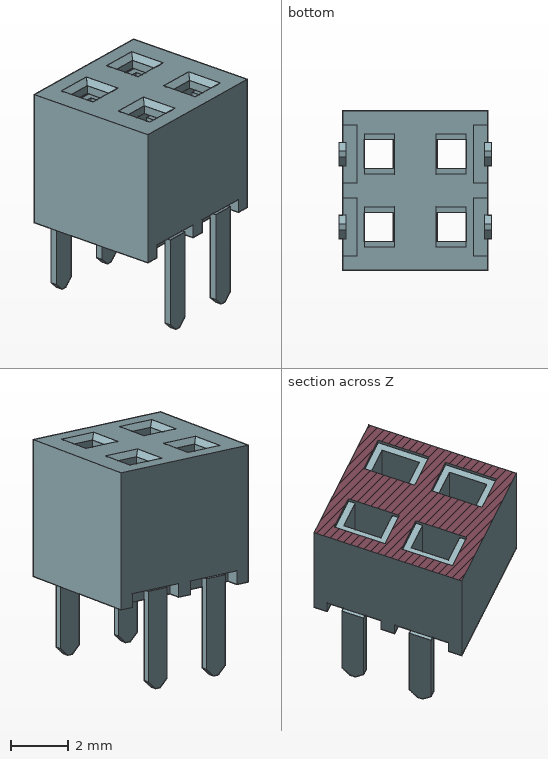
import cadquery as cq

total_height = 8.1
housing_x = 5.08
housing_y = 5.58
housing_height = 5.0
housing_bottom = total_height - housing_height
side_face = housing_x / 2

pitch = 2.54
rows_y = (-pitch / 2, pitch / 2)
sides = (-1, 1)

throat_size = 1.005
funnel_size = 1.4
funnel_depth = 0.2
throat_bottom_depth = 0.5
throat_bottom = total_height - throat_bottom_depth
metal_thickness = 0.25
shaft_top = throat_bottom - metal_thickness
shaft_y = 1.4
shaft_inner_relief = 0.05
chamber_y = shaft_y + 2 * metal_thickness

notch_y = 2.025
notch_height = 0.5
notch_depth = 0.5
notch_top = housing_bottom + notch_height

pin_width = 0.83
tip_width = 0.2
tip_height = 0.3


def box_between(x_start, x_end, y_center, y_size, z_bottom, z_top):
    """Make a box from its X limits, its Y centre and size, and its Z limits."""
    return cq.Workplane("XY").box(
        abs(x_end - x_start), y_size, z_top - z_bottom, centered=(True, True, False)
    ).translate(((x_start + x_end) / 2, y_center, z_bottom))


def make_socket(side, y_center):
    """Make the cavity of one socket; side is the sign of the X face it lies next to."""
    x_center = side * pitch / 2
    outer_wall = x_center + side * throat_size / 2
    inner_wall = x_center - side * (throat_size / 2 + shaft_inner_relief)
    chamber_outer_wall = outer_wall + side * metal_thickness

    funnel = (
        cq.Workplane("XY", origin=(x_center, y_center, total_height))
        .rect(funnel_size, funnel_size)
        .workplane(offset=-funnel_depth)
        .rect(throat_size, throat_size)
        .loft(ruled=True)
    )
    throat = box_between(
        x_center - throat_size / 2, x_center + throat_size / 2,
        y_center, throat_size, throat_bottom, total_height - funnel_depth,
    )
    chamber = box_between(
        inner_wall, chamber_outer_wall, y_center, chamber_y, shaft_top, throat_bottom
    )
    shaft = box_between(
        inner_wall, outer_wall, y_center, shaft_y, housing_bottom, throat_bottom
    )
    return funnel.union(throat).union(chamber).union(shaft)


def make_notch(side, y_center):
    """Make the cutter for the notch above one pin."""
    return box_between(
        side * side_face, side * (side_face - notch_depth),
        y_center, notch_y, housing_bottom, notch_top,
    )


def make_pin(side, y_center):
    """Make one flat pin with a tapered tip."""
    return (
        cq.Workplane("YZ")
        .polyline([
            (-pin_width / 2, notch_top),
            (-pin_width / 2, tip_height),
            (-tip_width / 2, 0),
            (tip_width / 2, 0),
            (pin_width / 2, tip_height),
            (pin_width / 2, notch_top),
        ])
        .close()
        .extrude(metal_thickness / 2, both=True)
        .translate((side * side_face, y_center, 0))
    )


result = box_between(-side_face, side_face, 0, housing_y, housing_bottom, total_height)
for side in sides:
    for y_center in rows_y:
        result = result.cut(make_socket(side, y_center))
        result = result.cut(make_notch(side, y_center))
        result = result.union(make_pin(side, y_center))